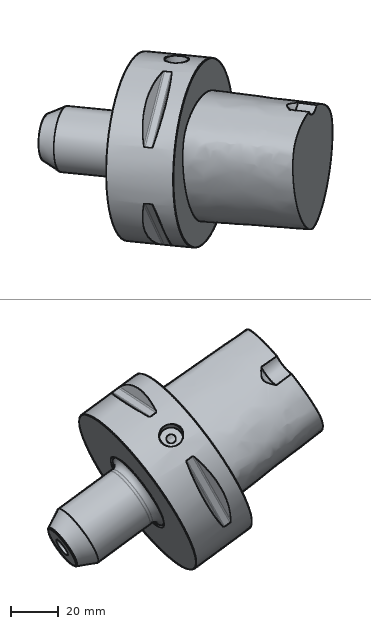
import cadquery as cq
import math

total_length = 118.0
flange_front = 40.0
flange_back = 69.9
flange_radius = 40.0
flange_chamfer = 0.2

spigot_radius = 28.0 / 2
relief_radius = 27.8 / 2
nose_face_radius = 9.3
nose_cone_radius = 10.0
nose_chamfer_length = 0.4
nose_length = 8.4
relief_start = 35.8
undercut_fillet = 3.4
undercut_depth = 0.5
undercut_outer_radius = 18.2
bore_diameter = 8.0
bore_depth = 23.6

shank_mean_radius = 27.6
lobe_height = 2.0
taper_ratio = 1 / 40
outline_points = 60

slot_width = 9.9
slot_depth = 2.4
slot_rim_height = 24.1
slot_straight_length = 8.3

groove_x = 58.0
groove_floor_distance = 35.6
groove_floor_width = 3.8
groove_wall_angle = 30
groove_fillet = 0.7
hole_x = 57.9
hole_diameter = 10.0
hole_depth = 4.6
hole_chamfer = 0.2
pilot_diameter = 4.0
pilot_cone_depth = 1.2


def make_turned_body():
    """Spigot, undercut and flange, revolved about X."""
    undercut_x = flange_front + undercut_depth
    fillet_start = undercut_x - undercut_fillet
    fillet_end_radius = relief_radius + undercut_fillet
    arc_offset = undercut_fillet * math.sqrt(0.5)
    fillet_middle = (fillet_start + arc_offset, fillet_end_radius - arc_offset)
    return (
        cq.Workplane("XY")
        .moveTo(0, 0)
        .lineTo(0, nose_face_radius)
        .lineTo(nose_chamfer_length, nose_cone_radius)
        .lineTo(nose_length, spigot_radius)
        .lineTo(relief_start, spigot_radius)
        .lineTo(fillet_start, relief_radius)
        .threePointArc(fillet_middle, (undercut_x, fillet_end_radius))
        .lineTo(flange_front, undercut_outer_radius)
        .lineTo(flange_front, flange_radius - flange_chamfer)
        .lineTo(flange_front + flange_chamfer, flange_radius)
        .lineTo(flange_back - flange_chamfer, flange_radius)
        .lineTo(flange_back, flange_radius - flange_chamfer)
        .lineTo(flange_back, 0)
        .close()
        .revolve(360, (0, 0, 0), (1, 0, 0))
    )


def lobed_point(mean_radius, angle):
    """Point of a constant-width three-lobed curve with one lobe toward -Z."""
    support = mean_radius + lobe_height * math.sin(3 * angle)
    slope = 3 * lobe_height * math.cos(3 * angle)
    y = support * math.cos(angle) - slope * math.sin(angle)
    z = support * math.sin(angle) + slope * math.cos(angle)
    return (y, z)


def make_shank():
    """Lobed taper from the flange to the end of the part."""
    length = total_length - flange_back
    end_radius = shank_mean_radius - length * taper_ratio
    angles = [2 * math.pi * i / outline_points for i in range(outline_points)]
    base_outline = [lobed_point(shank_mean_radius, angle) for angle in angles]
    end_outline = [lobed_point(end_radius, angle) for angle in angles]
    return (
        cq.Workplane("YZ", origin=(flange_back, 0, 0))
        .spline(base_outline, periodic=True)
        .close()
        .workplane(offset=length)
        .spline(end_outline, periodic=True)
        .close()
        .loft(ruled=True)
    )


def make_drive_slot():
    """Shallow round-bottomed slot along X, run out by a 45 degree cone."""
    half_width = slot_width / 2
    slot_radius = (half_width**2 + slot_depth**2) / (2 * slot_depth)
    axis_height = slot_rim_height + slot_radius - slot_depth
    cone_start = total_length - slot_straight_length
    return (
        cq.Workplane("XY", origin=(0, 0, axis_height))
        .moveTo(cone_start - slot_radius, 0)
        .lineTo(cone_start, slot_radius)
        .lineTo(total_length, slot_radius)
        .lineTo(total_length, 0)
        .close()
        .revolve(360, (0, 0, 0), (1, 0, 0))
    )


def make_groove(angle):
    """Straight groove with sloping walls across the flange rim."""
    floor_half = groove_floor_width / 2
    height = flange_radius - groove_floor_distance
    top_half = floor_half + height * math.tan(math.radians(groove_wall_angle))
    profile = [
        (groove_x - floor_half, groove_floor_distance),
        (groove_x + floor_half, groove_floor_distance),
        (groove_x + top_half, flange_radius),
        (groove_x - top_half, flange_radius),
    ]
    return (
        cq.Workplane("XZ")
        .polyline(profile)
        .close()
        .extrude(flange_radius, both=True)
        .edges("|Y").edges("<Z")
        .fillet(groove_fillet)
        .rotate((0, 0, 0), (1, 0, 0), angle)
    )


def make_radial_hole():
    """Chamfered flat-bottomed hole from +Z with a conical centre mark."""
    radius = hole_diameter / 2
    floor_z = flange_radius - hole_depth
    return (
        cq.Workplane("XZ")
        .moveTo(0, floor_z - pilot_cone_depth)
        .lineTo(pilot_diameter / 2, floor_z)
        .lineTo(radius, floor_z)
        .lineTo(radius, flange_radius - hole_chamfer)
        .lineTo(radius + hole_chamfer, flange_radius)
        .lineTo(0, flange_radius)
        .close()
        .revolve(360, (0, 0, 0), (0, 1, 0))
        .translate((hole_x, 0, 0))
    )


result = make_turned_body().union(make_shank()).cut(make_drive_slot())
for groove_angle in (45, 135, 225, 315):
    result = result.cut(make_groove(groove_angle))
result = result.cut(make_radial_hole())

nose_bore = cq.Workplane("YZ").circle(bore_diameter / 2).extrude(bore_depth)
result = result.cut(nose_bore)